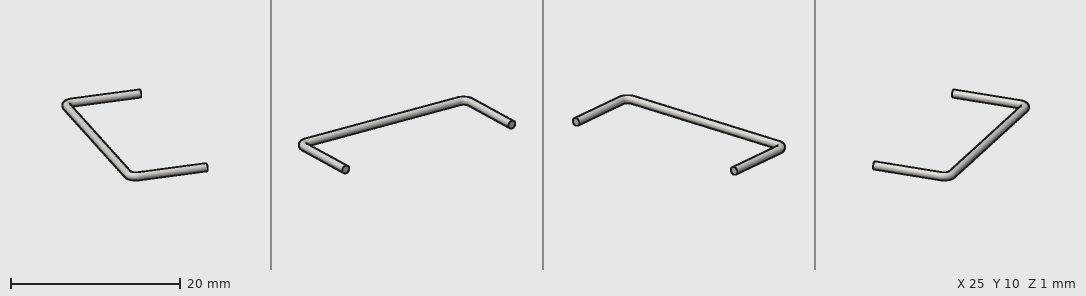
import cadquery as cq
import math

overall_width = 25.0
overall_depth = 10.0
wire_diameter = 1.0
bend_radius = 1.0

wire_radius = wire_diameter / 2
leg_x = overall_width / 2 - wire_radius
leg_end_y = overall_depth / 2
crossbar_y = -overall_depth / 2 + wire_radius
bend_center_x = leg_x - bend_radius
bend_center_y = crossbar_y + bend_radius
bend_mid_offset = bend_radius * math.sin(math.radians(45))
bend_mid_x = bend_center_x + bend_mid_offset
bend_mid_y = bend_center_y - bend_mid_offset

centreline = (
    cq.Workplane("XY")
    .moveTo(-leg_x, leg_end_y)
    .lineTo(-leg_x, bend_center_y)
    .threePointArc((-bend_mid_x, bend_mid_y), (-bend_center_x, crossbar_y))
    .lineTo(bend_center_x, crossbar_y)
    .threePointArc((bend_mid_x, bend_mid_y), (leg_x, bend_center_y))
    .lineTo(leg_x, leg_end_y)
)

result = (
    cq.Workplane("XZ", origin=(-leg_x, leg_end_y, 0))
    .circle(wire_radius)
    .sweep(centreline)
)